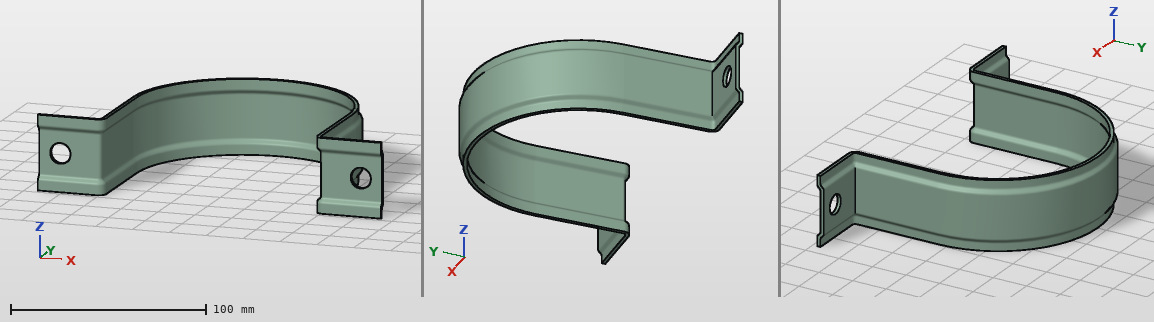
import cadquery as cq
import math

span = 186.0
depth = 114.2
strip_width = 40.0
thickness = 2.0
crown_radius = 61.4
joggle_step = 2.0
rim_width = 5.0
joggle_angle = 45.0
joggle_radius = 1.9
hole_diameter = 11.0
hole_edge_distance = 11.5

section_depth = joggle_step + thickness
leg_length = depth - crown_radius - section_depth
flange_length = span / 2 - crown_radius


def strip_section():
    """Joggled strip section: x runs inward from the band's outer face, y across the strip width."""
    half_width = strip_width / 2
    rim_corner = half_width - rim_width
    band_corner = rim_corner - joggle_step / math.tan(math.radians(joggle_angle))
    inner_shift = thickness * math.tan(math.radians(joggle_angle / 2))

    outer_upper = [
        (0, band_corner),
        (joggle_step, rim_corner),
        (joggle_step, half_width),
    ]
    inner_upper = [
        (section_depth, half_width),
        (section_depth, rim_corner - inner_shift),
        (thickness, band_corner - inner_shift),
    ]
    upper = outer_upper + inner_upper
    lower = [(x, -y) for x, y in reversed(upper)]
    outline = upper + lower + upper[:1]
    return (
        cq.Sketch()
        .polygon(outline)
        .vertices("not(<Y or >Y)")
        .fillet(joggle_radius)
    )


section = strip_section()


def section_at(x, y, inward):
    """Place the strip section upright at (x, y), its depth running along the inward direction."""
    normal = cq.Vector(*inward).cross(cq.Vector(0, 0, 1))
    plane = cq.Plane(origin=(x, y, 0), xDir=inward, normal=normal)
    return cq.Workplane(plane).placeSketch(section)


crown = section_at(-crown_radius, 0, (1, 0, 0)).revolve(180, (crown_radius, 0), (crown_radius, -1))

leg = section_at(-crown_radius, 0, (1, 0, 0)).extrude(leg_length)
bend = section_at(-crown_radius, -leg_length, (1, 0, 0)).revolve(90, (0, 0), (0, -1))
flange = section_at(-crown_radius, -leg_length, (0, -1, 0)).extrude(flange_length)

bolt_hole = (
    cq.Workplane("XZ", origin=(-span / 2 + hole_edge_distance, -leg_length, 0))
    .circle(hole_diameter / 2)
    .extrude(section_depth)
)
left_side = leg.union(bend).union(flange.cut(bolt_hole))

result = crown.union(left_side).union(left_side.mirror("YZ"))